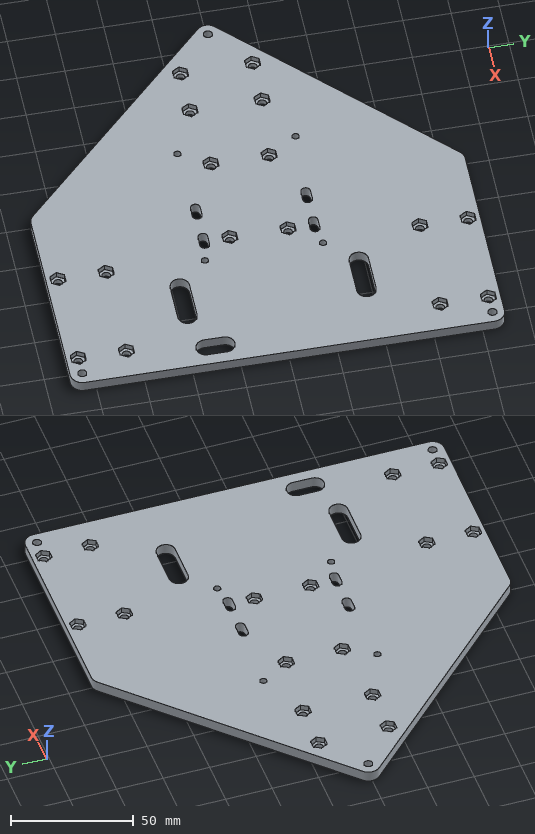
import cadquery as cq
import math

LENGTH = 177.8
WIDTH = 180.0
THICKNESS = 5.0
CORNER_RADIUS = 5.0
RIGHT_EDGE = LENGTH / 2

CORNER_HOLE_DIAMETER = 3.6
SMALL_HOLE_DIAMETER = 2.9
SMALL_HOLE_X_FROM_RIGHT = (112.5, 54.5)
SMALL_HOLE_Y = 24.5

SCREW_HOLE_DIAMETER = 3.6
NUT_ACROSS_FLATS = 6.0
NUT_POCKET_DEPTH = 2.5
OUTER_SCREW_X_FROM_RIGHT = (56.3, 13.5)
OUTER_SCREW_Y = (65.0, WIDTH / 2 - CORNER_RADIUS)
TIP_SCREW_X_FROM_RIGHT = (154.5, 134.5)
TIP_SCREW_Y = 15.0
MIDDLE_SCREW_X_FROM_RIGHT = (105.0, 65.0)
MIDDLE_SCREW_Y = 12.0

LARGE_SLOT_LENGTH = 24.0
LARGE_SLOT_WIDTH = 8.0
LARGE_SLOT_X_FROM_RIGHT = 35.0
LARGE_SLOT_Y = 37.0
SMALL_SLOT_LENGTH = 8.0
SMALL_SLOT_WIDTH = 4.0
SMALL_SLOT_X_FROM_RIGHT = (80.8, 65.0)
SMALL_SLOT_Y = 22.9
UPRIGHT_SLOT_LENGTH = 16.0
UPRIGHT_SLOT_WIDTH = LARGE_SLOT_WIDTH
UPRIGHT_SLOT_X_FROM_RIGHT = 9.0
UPRIGHT_SLOT_Y = -29.0


def mirrored_points(distances_from_right, y_distances):
    """Points at the given distances from the right edge, on both sides of the X axis."""
    return [
        (RIGHT_EDGE - distance, side * y)
        for distance in distances_from_right
        for y in y_distances
        for side in (1, -1)
    ]


def make_plate():
    """Five-sided plate with 45 degree flanks and every vertical edge rounded."""
    tip_setback = CORNER_RADIUS * (math.sqrt(2) - 1)
    sharp_tip_x = -RIGHT_EDGE - tip_setback
    shoulder_x = sharp_tip_x + WIDTH / 2
    outline = [
        (sharp_tip_x, 0),
        (shoulder_x, -WIDTH / 2),
        (RIGHT_EDGE, -WIDTH / 2),
        (RIGHT_EDGE, WIDTH / 2),
        (shoulder_x, WIDTH / 2),
    ]
    plate = cq.Workplane("XY").polyline(outline).close().extrude(THICKNESS)
    return plate.edges("|Z").fillet(CORNER_RADIUS)


def through_holes(points, diameter):
    return cq.Workplane("XY").pushPoints(points).circle(diameter / 2).extrude(THICKNESS)


def through_slots(points, length, width, angle=0):
    return cq.Workplane("XY").pushPoints(points).slot2D(length, width, angle).extrude(THICKNESS)


def nut_pockets(points):
    """Hexagonal pockets sunk from the top face, with two corners along X."""
    across_corners = NUT_ACROSS_FLATS / math.cos(math.pi / 6)
    floor = cq.Workplane("XY").workplane(offset=THICKNESS - NUT_POCKET_DEPTH)
    return floor.pushPoints(points).polygon(6, across_corners).extrude(NUT_POCKET_DEPTH)


corner_hole_points = [(-RIGHT_EDGE + CORNER_RADIUS, 0)]
corner_hole_points += mirrored_points([CORNER_RADIUS], [WIDTH / 2 - CORNER_RADIUS])

screw_points = mirrored_points(OUTER_SCREW_X_FROM_RIGHT, OUTER_SCREW_Y)
screw_points += mirrored_points(TIP_SCREW_X_FROM_RIGHT, [TIP_SCREW_Y])
screw_points += mirrored_points(MIDDLE_SCREW_X_FROM_RIGHT, [MIDDLE_SCREW_Y])

small_hole_points = mirrored_points(SMALL_HOLE_X_FROM_RIGHT, [SMALL_HOLE_Y])
large_slot_points = mirrored_points([LARGE_SLOT_X_FROM_RIGHT], [LARGE_SLOT_Y])
small_slot_points = mirrored_points(SMALL_SLOT_X_FROM_RIGHT, [SMALL_SLOT_Y])
upright_slot_points = [(RIGHT_EDGE - UPRIGHT_SLOT_X_FROM_RIGHT, UPRIGHT_SLOT_Y)]

result = (
    make_plate()
    .cut(through_holes(corner_hole_points, CORNER_HOLE_DIAMETER))
    .cut(through_holes(small_hole_points, SMALL_HOLE_DIAMETER))
    .cut(through_holes(screw_points, SCREW_HOLE_DIAMETER))
    .cut(nut_pockets(screw_points))
    .cut(through_slots(large_slot_points, LARGE_SLOT_LENGTH, LARGE_SLOT_WIDTH))
    .cut(through_slots(small_slot_points, SMALL_SLOT_LENGTH, SMALL_SLOT_WIDTH))
    .cut(through_slots(upright_slot_points, UPRIGHT_SLOT_LENGTH, UPRIGHT_SLOT_WIDTH, angle=90))
)